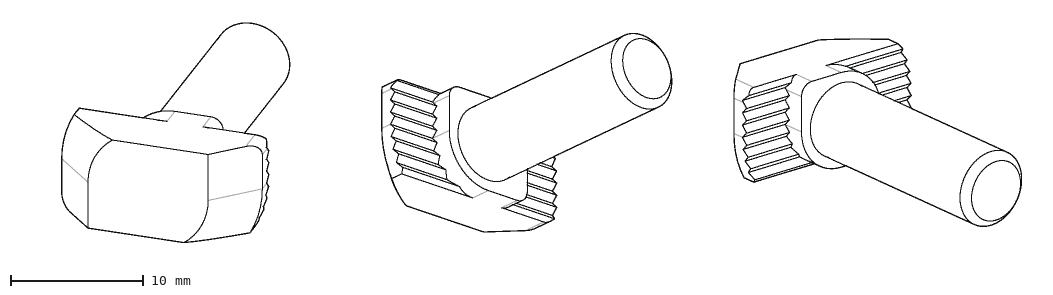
import cadquery as cq
import math

total_length = 24.7
head_length = 16.0
head_width = 7.7
taper_start = 3.2
corner_radius = 1.0
crest_height = 4.75
collar_height = 6.2
shank_diameter = 6.0
shank_chamfer = 0.62
tooth_pitch = 0.998
tooth_depth = tooth_pitch / 2

half_width = head_width / 2
swing_radius = head_length / 2
face_radius = swing_radius - taper_start
crest_pairs = math.ceil(half_width / tooth_pitch)


def quarter_turn_block(radius, height):
    """Prism that can twist a quarter turn: two opposite swept ends and two small rounded corners."""
    end_x = math.sqrt(radius**2 - half_width**2)
    mid_angle = math.pi - math.asin(half_width / radius) / 2
    arc_mid = (radius * math.cos(mid_angle), radius * math.sin(mid_angle))
    outline = cq.Workplane("XZ").moveTo(-radius, 0).threePointArc(arc_mid, (-end_x, half_width))
    outline = outline.lineTo(radius, half_width)
    outline = outline.lineTo(radius, 0)
    outline = outline.threePointArc((-arc_mid[0], -arc_mid[1]), (end_x, -half_width))
    outline = outline.lineTo(-radius, -half_width)
    outline = outline.close()
    block = outline.extrude(-height)
    for side in (-1, 1):
        corner = (side * radius, height / 2, side * half_width)
        near_corner = cq.selectors.NearestToPointSelector(corner)
        block = block.edges("|Y").edges(near_corner).fillet(corner_radius)
    return block


def taper_envelope():
    """Tapered volume: conical where the head swings, flat beside the rounded corners."""
    profile = [
        (0, 0),
        (face_radius, 0),
        (swing_radius, taper_start),
        (swing_radius, crest_height),
        (0, crest_height),
    ]
    cone = cq.Workplane("XY").polyline(profile).close().revolve(360, (0, 0), (0, 1))
    wedge = cq.Workplane("XY").polyline(profile).close().extrude(half_width)
    opposite_wedge = wedge.rotate((0, 0, 0), (0, 1, 0), 180)
    return cone.union(wedge).union(opposite_wedge)


def serration_grooves():
    """V grooves along X, with one groove bottom on the bolt axis plane."""
    first_crest = -crest_pairs - 0.5
    points = [(crest_height, first_crest * tooth_pitch)]
    for tooth in range(2 * crest_pairs + 1):
        crest_z = (first_crest + tooth) * tooth_pitch
        points.append((crest_height - tooth_depth, crest_z + tooth_pitch / 2))
        points.append((crest_height, crest_z + tooth_pitch))
    points.append((collar_height, points[-1][1]))
    points.append((collar_height, points[0][1]))
    return cq.Workplane("YZ").polyline(points).close().extrude(swing_radius, both=True)


head = quarter_turn_block(swing_radius, crest_height).intersect(taper_envelope())
head = head.cut(serration_grooves())

collar = quarter_turn_block(half_width, collar_height - taper_start).translate((0, taper_start, 0))

shank = cq.Workplane("XZ").circle(shank_diameter / 2).extrude(-total_length)
shank = shank.faces(">Y").chamfer(shank_chamfer)

result = head.union(collar).union(shank)